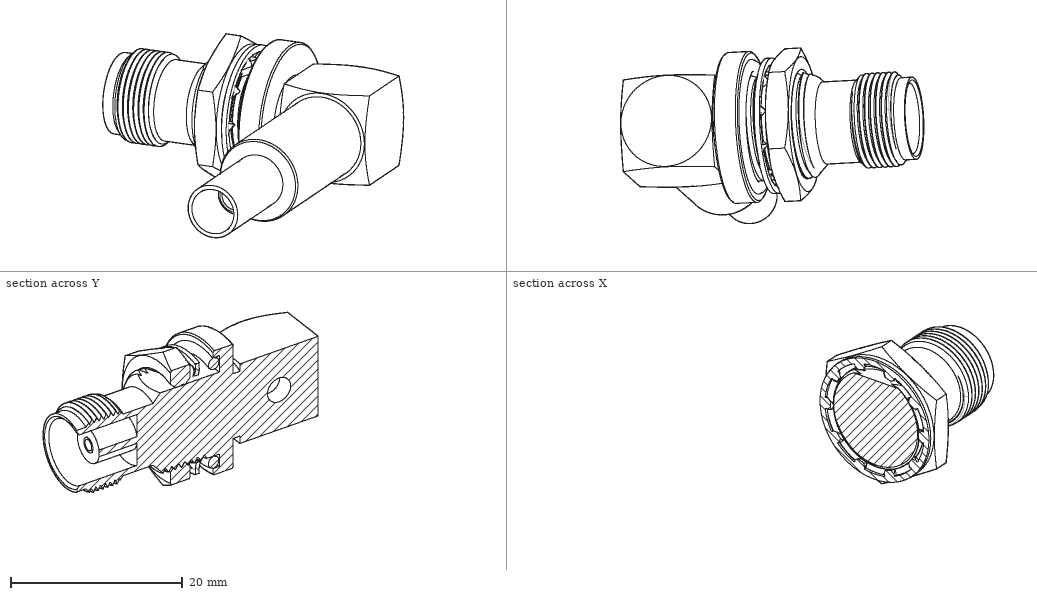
import cadquery as cq
import math


TIP_DIA = 9.65
BORE_DIA = 8.26
BORE_DEPTH = 8.5
BORE_LEAD_IN = 0.35
DIELECTRIC_DIA = 4.57
DIELECTRIC_RECESS = 3.15
CONTACT_DIA = 1.4
CONTACT_GAP_DIA = 1.91
CONTACT_GAP_DEPTH = 3.0

COUPLING_DIA = 11.1
COUPLING_ROOT_DIA = 10.04
COUPLING_PITCH = 0.671
COUPLING_START = 1.3
COUPLING_END = 6.55
COUPLING_GROOVE_START = 0.93

PANEL_DIA = 12.75
PANEL_ROOT_DIA = 11.6
PANEL_PITCH = 0.907
PANEL_START = 10.74
PANEL_GROOVE_START = 11.0
PANEL_GROOVE_END = 18.6
PANEL_FLAT_HEIGHT = 5.37
THREAD_CREST_SHARE = 0.08
GROOVE_OVERSHOOT = 0.01

FLANGE_DIA = 17.69
FLANGE_START = 19.17
FLANGE_END = 22.09
FLANGE_CHAMFER = 0.2
NECK_DIA = 10.04
TOTAL_LENGTH = 34.0
BLOCK_SIZE = 11.0
BLOCK_FACE_DIA = 10.9
BLOCK_CHAMFER_ANGLE = 30.0

BARREL_DIA = 10.0
BARREL_LENGTH = 18.0
BARREL_RIM_DIA = 9.65
BARREL_CHAMFER_LENGTH = 0.3
STUB_DIA = 4.5
STUB_LENGTH = 6.6
STUB_TIP_DIA = 3.8
STUB_BORE_DIA = 3.2
FERRULE_DIA = 6.4
FERRULE_BORE_DIA = 5.4
CABLE_REACH = 36.185

NUT_FLATS = 15.88
NUT_START = 13.2
NUT_THICKNESS = 2.8
NUT_FACE_DIA = 15.8
NUT_CHAMFER_LENGTH = 0.45
NUT_BORE_DIA = 11.65
NUT_MOUTH_DIA = 12.85

WASHER_DIA = 15.88
WASHER_RING_BORE_DIA = 14.3
WASHER_START = 16.7
WASHER_THICKNESS = 0.6
TOOTH_COUNT = 10
TOOTH_WIDTH = 1.5
TOOTH_TWIST = 40.0
TOOTH_ROOT_OVERLAP = 0.1

ORING_DIA = 15.8
ORING_START = 18.53

ORING_SECTION_DIA = (ORING_DIA - PANEL_DIA) / 2
ORING_END = ORING_START + ORING_SECTION_DIA
BLOCK_START = TOTAL_LENGTH - BLOCK_SIZE
CABLE_AXIS_X = TOTAL_LENGTH - BLOCK_SIZE / 2
BARREL_END = BLOCK_SIZE / 2 + BARREL_LENGTH


def cylinder_x(diameter, start, end):
    """Solid cylinder on the mating axis between two X positions."""
    return cq.Workplane("YZ", origin=(start, 0, 0)).circle(diameter / 2).extrude(end - start)


def cylinder_cable(diameter, start, end):
    """Solid cylinder on the cable axis; distances run toward -Y from the mating axis."""
    plane = cq.Workplane("XZ", origin=(CABLE_AXIS_X, -start, 0))
    return plane.circle(diameter / 2).extrude(end - start)


def revolve_x(points):
    """Revolve an outline of (X, radius) points about the mating axis."""
    return cq.Workplane("XY").polyline(points).close().revolve(360, (0, 0, 0), (1, 0, 0))


def thread_groove(crest_dia, root_dia, pitch, start, end):
    """Right-hand V groove wound about the mating axis."""
    root = root_dia / 2
    mouth = crest_dia / 2 + GROOVE_OVERSHOOT
    half_width = pitch * (1 - THREAD_CREST_SHARE) / 2
    helix = cq.Wire.makeHelix(pitch, end - start, root)
    profile = cq.Workplane("XZ").polyline([(root, 0), (mouth, half_width), (mouth, -half_width)]).close()
    groove = profile.sweep(cq.Workplane(obj=helix), isFrenet=True).val()
    return groove.moved(cq.Location(cq.Plane.named("YZ", origin=(start, 0, 0))))


def threaded_shaft():
    """Mating end from the open face to the flange, with both threads and the panel flat."""
    tip = TIP_DIA / 2
    coupling = COUPLING_DIA / 2
    panel = PANEL_DIA / 2
    shaft = revolve_x([
        (0, 0),
        (0, tip),
        (COUPLING_START, tip),
        (COUPLING_START + coupling - tip, coupling),
        (COUPLING_END - coupling + tip, coupling),
        (COUPLING_END, tip),
        (PANEL_START, tip),
        (PANEL_START + panel - tip, panel),
        (ORING_END, panel),
        (ORING_END, 0),
    ])
    shaft = shaft.cut(thread_groove(
        COUPLING_DIA, COUPLING_ROOT_DIA, COUPLING_PITCH, COUPLING_GROOVE_START, COUPLING_END))
    shaft = shaft.cut(thread_groove(
        PANEL_DIA, PANEL_ROOT_DIA, PANEL_PITCH, PANEL_GROOVE_START, PANEL_GROOVE_END))
    flat_depth = panel - PANEL_FLAT_HEIGHT
    flat_length = ORING_END - PANEL_START
    flat = cq.Workplane("XY").box(flat_length, PANEL_DIA, flat_depth, centered=(False, True, False))
    return shaft.cut(flat.translate((PANEL_START, 0, PANEL_FLAT_HEIGHT)))


def socket_cavity():
    """Space inside the mating end, around the dielectric and its contact."""
    bore = BORE_DIA / 2
    dielectric = DIELECTRIC_DIA / 2
    contact = CONTACT_DIA / 2
    gap = CONTACT_GAP_DIA / 2
    gap_floor = DIELECTRIC_RECESS + CONTACT_GAP_DEPTH
    return revolve_x([
        (0, 0),
        (0, bore + BORE_LEAD_IN),
        (BORE_LEAD_IN, bore),
        (BORE_DEPTH, bore),
        (BORE_DEPTH, dielectric),
        (DIELECTRIC_RECESS, dielectric),
        (DIELECTRIC_RECESS, gap),
        (gap_floor, gap),
        (gap_floor, contact),
        (DIELECTRIC_RECESS, contact),
        (DIELECTRIC_RECESS, 0),
    ])


def flange():
    """Round flange with a pocket for the O-ring in its mating side."""
    disc = cylinder_x(FLANGE_DIA, FLANGE_START, FLANGE_END).edges().chamfer(FLANGE_CHAMFER)
    pocket = cylinder_x(ORING_DIA, FLANGE_START, ORING_END)
    return disc.cut(pocket)


def elbow_block():
    """Cube whose four corners are cut by a cone at both ends of the cable axis."""
    half = BLOCK_SIZE / 2
    face = BLOCK_FACE_DIA / 2
    corner = half * math.sqrt(2)
    slope = math.tan(math.radians(BLOCK_CHAMFER_ANGLE))
    outer = corner + half
    shoulder = half - (outer - face) * slope
    cube = cq.Workplane("XY").box(BLOCK_SIZE, BLOCK_SIZE, BLOCK_SIZE)
    envelope = (
        cq.Workplane("XY")
        .polyline([(0, -half), (face, -half), (outer, -shoulder), (outer, shoulder), (face, half), (0, half)])
        .close()
        .revolve(360, (0, 0, 0), (0, 1, 0))
    )
    return cube.intersect(envelope).translate((CABLE_AXIS_X, 0, 0))


def cable_barrel():
    """Barrel below the block, its rim chamfer and the stub that enters the ferrule."""
    rim_inset = (BARREL_DIA - BARREL_RIM_DIA) / 2
    tip_inset = (STUB_DIA - STUB_TIP_DIA) / 2
    barrel = cylinder_cable(BARREL_DIA, BLOCK_SIZE / 2, BARREL_END)
    barrel = barrel.faces("<Y").chamfer(BARREL_CHAMFER_LENGTH, rim_inset)
    stub = cylinder_cable(STUB_DIA, BARREL_END, BARREL_END + STUB_LENGTH).faces("<Y").chamfer(tip_inset)
    return barrel.union(stub)


def connector_body():
    neck = cylinder_x(NECK_DIA, ORING_END, BLOCK_START)
    cable_bore = cylinder_cable(STUB_BORE_DIA, 0, BARREL_END + STUB_LENGTH)
    body = threaded_shaft().cut(socket_cavity())
    body = body.union(flange()).union(neck).union(elbow_block()).union(cable_barrel())
    return body.cut(cable_bore)


def crimp_ferrule():
    """Plain tube that butts against the end of the cable barrel."""
    tube = cylinder_cable(FERRULE_DIA, BARREL_END, CABLE_REACH)
    return tube.cut(cylinder_cable(FERRULE_BORE_DIA, BARREL_END, CABLE_REACH))


def hex_nut():
    """Hex nut with corners up and down, its internal thread matching the panel thread."""
    corner = NUT_FLATS / math.sqrt(3)
    face = NUT_FACE_DIA / 2
    end = NUT_START + NUT_THICKNESS
    prism = (
        cq.Workplane("YZ", origin=(NUT_START, 0, 0))
        .polygon(6, 2 * corner)
        .extrude(NUT_THICKNESS)
        .rotate((0, 0, 0), (1, 0, 0), 90)
    )
    envelope = revolve_x([
        (NUT_START, 0),
        (NUT_START, face),
        (NUT_START + NUT_CHAMFER_LENGTH, corner),
        (end - NUT_CHAMFER_LENGTH, corner),
        (end, face),
        (end, 0),
    ])
    bore = NUT_BORE_DIA / 2
    mouth = NUT_MOUTH_DIA / 2
    opening = revolve_x([
        (NUT_START, 0),
        (NUT_START, mouth),
        (NUT_START + mouth - bore, bore),
        (end - mouth + bore, bore),
        (end, mouth),
        (end, 0),
    ])
    return prism.intersect(envelope).cut(opening).cut(threaded_shaft())


def washer_tooth():
    """Internal tooth above the mating axis, twisting as it runs inward."""
    root_radius = WASHER_RING_BORE_DIA / 2 + TOOTH_ROOT_OVERLAP
    middle_x = WASHER_START + WASHER_THICKNESS / 2
    plane = cq.Plane(origin=(middle_x, 0, root_radius), xDir=(0, 1, 0), normal=(0, 0, -1))
    tooth = cq.Workplane(plane).rect(TOOTH_WIDTH, WASHER_THICKNESS)
    return tooth.twistExtrude(root_radius - PANEL_DIA / 2, TOOTH_TWIST)


def lock_washer():
    """Flat ring with evenly spaced twisted teeth; the flat of the thread faces a gap."""
    end = WASHER_START + WASHER_THICKNESS
    ring_bore = cylinder_x(WASHER_RING_BORE_DIA, WASHER_START, end)
    washer = cylinder_x(WASHER_DIA, WASHER_START, end).cut(ring_bore)
    spacing = 360 / TOOTH_COUNT
    for index in range(TOOTH_COUNT):
        angle = (index + 0.5) * spacing
        washer = washer.union(washer_tooth().rotate((0, 0, 0), (1, 0, 0), angle))
    return washer


def o_ring():
    """Round-section ring seated in the flange pocket."""
    section = ORING_SECTION_DIA / 2
    center_radius = ORING_DIA / 2 - section
    center = cq.Workplane("XY").center(ORING_START + section, center_radius)
    return center.circle(section).revolve(360, (0, -center_radius, 0), (1, -center_radius, 0))


body = connector_body().solids()
ferrule = crimp_ferrule().solids()
nut = hex_nut().solids()
washer = lock_washer().solids()
seal = o_ring().solids()

result = cq.Compound.makeCompound([body.val(), ferrule.val(), nut.val(), washer.val(), seal.val()])